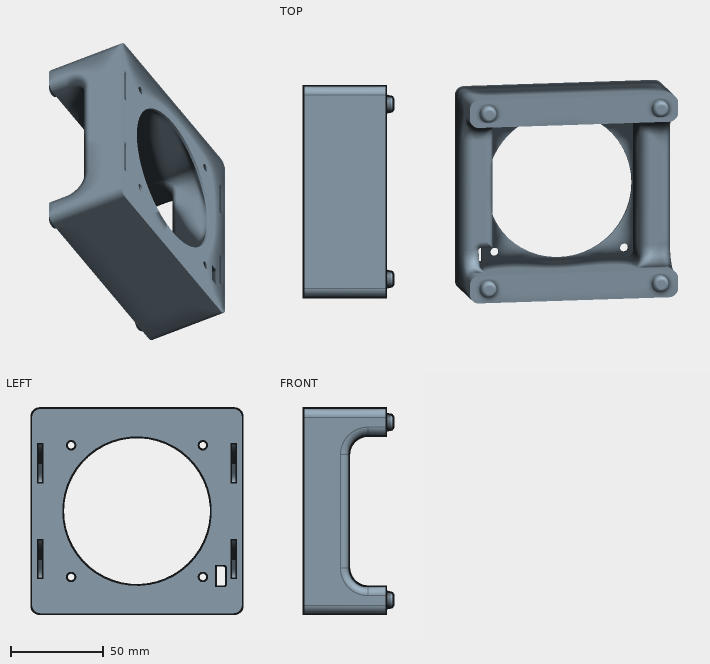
import cadquery as cq

body_depth = 45.0
body_width = 115.0
body_height = 112.0
corner_radius = 5.0
plate_thickness = 1.5

cavity_size = 81.5
cavity_corner_radius = 4.0

side_wall_depth = 25.0
cutout_corner_radius = 10.0
outer_rim_fillet = 5.0
inner_rim_fillet = 5.0
channel_rim_fillet = 4.0

fan_opening_diameter = 80.0
screw_hole_diameter = 4.5
screw_pitch = 71.5

slot_width = 2.5
slot_length = 21.0
slot_depth = slot_length / 2
slot_center_y = 52.5
slot_center_z = 26.0

window_width = 5.25
window_height = 11.0
window_outer_y = -48.25
window_corner_radius = 1.0

pin_base_radius = 4.75
pin_shoulder_radius = 4.3
pin_length = 4.0
pin_rounding = 2.0
pin_center_y = 47.5
pin_center_z = 48.25

SIDES = (-1, 1)
margin = 0.1
cavity_half = cavity_size / 2

channel_width = cavity_corner_radius - cavity_half - window_outer_y


def make_block():
    return (
        cq.Workplane("YZ")
        .rect(body_width, body_height)
        .extrude(body_depth)
        .edges("|X")
        .fillet(corner_radius)
    )


def make_cavity():
    return (
        cq.Workplane("YZ", origin=(plate_thickness, 0, 0))
        .rect(cavity_size, cavity_size)
        .extrude(body_depth)
        .edges("|X")
        .fillet(cavity_corner_radius)
    )


def make_side_cutout():
    """Bar across the full width whose front corners are rounded."""
    return (
        cq.Workplane("XY", origin=(side_wall_depth, 0, 0))
        .box(body_depth, 2 * body_width, cavity_size, centered=(False, True, True))
        .edges("|Y and <X")
        .fillet(cutout_corner_radius)
    )


def make_cable_passage(start_x, end_x, width):
    """Passage standing on the cavity floor, rounded along its outer side."""
    return (
        cq.Workplane("XY", origin=(start_x, window_outer_y, -cavity_half))
        .box(end_x - start_x, width, window_height, centered=False)
        .edges("|X and <Y")
        .fillet(window_corner_radius)
    )


def round_outer_rims(body):
    """Round the edge between each outer side face and the side cutout."""
    for side in SIDES:
        side_y = side * body_width / 2
        rim = cq.selectors.BoxSelector(
            (side_wall_depth - margin, side_y - margin, -cavity_half - margin),
            (body_depth - margin, side_y + margin, cavity_half + margin),
        )
        body = body.edges(rim).fillet(outer_rim_fillet)
    return body


def round_inner_rims(body):
    """Round the inner back edge of each side wall, around the channel on the -Y side."""
    plain_rim = cq.selectors.BoxSelector(
        (side_wall_depth - margin, cavity_half - margin, -cavity_half),
        (side_wall_depth + margin, cavity_half + margin, cavity_half),
    )
    channel_rim = cq.selectors.BoxSelector(
        (side_wall_depth - margin, window_outer_y - margin, -cavity_half + margin),
        (side_wall_depth + margin, -cavity_half + margin, cavity_half),
    )
    body = body.edges(plain_rim).fillet(inner_rim_fillet)
    return body.edges(channel_rim).fillet(channel_rim_fillet)


def make_fan_openings():
    opening = cq.Workplane("YZ").circle(fan_opening_diameter / 2).extrude(plate_thickness)
    screw_holes = (
        cq.Workplane("YZ")
        .rect(screw_pitch, screw_pitch, forConstruction=True)
        .vertices()
        .circle(screw_hole_diameter / 2)
        .extrude(plate_thickness)
    )
    return opening.union(screw_holes)


def make_slot(y, z):
    return (
        cq.Workplane("XZ", origin=(0, y, z))
        .polyline([(0, -slot_length / 2), (slot_depth, 0), (0, slot_length / 2)])
        .close()
        .extrude(slot_width / 2, both=True)
    )


def make_pin(y, z):
    """Slightly tapered pin with a rounded tip, pointing along +X."""
    profile = (
        cq.Workplane("XY")
        .lineTo(0, pin_base_radius)
        .lineTo(pin_length - pin_rounding, pin_shoulder_radius)
        .radiusArc((pin_length, pin_shoulder_radius - pin_rounding), pin_rounding)
        .lineTo(pin_length, 0)
        .close()
    )
    return profile.revolve(360, (0, 0, 0), (1, 0, 0)).translate((body_depth, y, z))


result = make_block().cut(make_cavity()).cut(make_side_cutout())
result = result.cut(make_cable_passage(plate_thickness, body_depth, channel_width))
result = round_inner_rims(round_outer_rims(result))
result = result.cut(make_fan_openings())
result = result.cut(make_cable_passage(0, plate_thickness, window_width))
for y_side in SIDES:
    for z_side in SIDES:
        result = result.cut(make_slot(y_side * slot_center_y, z_side * slot_center_z))
        result = result.union(make_pin(y_side * pin_center_y, z_side * pin_center_z))